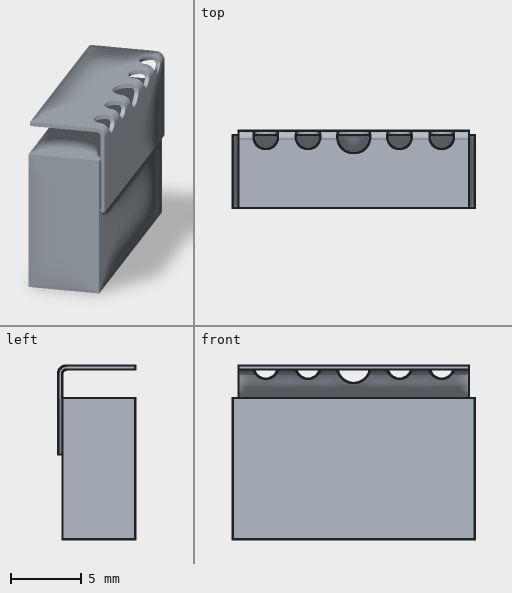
import math

import cadquery as cq

BLOCK_WIDTH = 17.2
BLOCK_DEPTH = 5.2
BLOCK_HEIGHT = 10.05

SHEET = 0.3
BRACKET_WIDTH = 16.4
BRACKET_TOP = 12.35
BRACKET_BACK = BLOCK_DEPTH + SHEET
BRACKET_DROP = 6.33
INNER_BEND = 0.3
OUTER_BEND = INNER_BEND + SHEET
NEUTRAL_BEND = INNER_BEND + SHEET / 2
BEND_Y = BRACKET_BACK - OUTER_BEND
BEND_Z = BRACKET_TOP - OUTER_BEND

BEND_LENGTH = NEUTRAL_BEND * math.pi / 2
HOLE_OFFSET = 0.17
SMALL_RADIUS = 0.875
LARGE_RADIUS = 1.175
INNER_HOLE_X = 3.25
SMALL_HOLE_PITCH = 3.0
OUTER_HOLE_X = INNER_HOLE_X + SMALL_HOLE_PITCH
HOLES = [
    (-OUTER_HOLE_X, SMALL_RADIUS),
    (-INNER_HOLE_X, SMALL_RADIUS),
    (0, LARGE_RADIUS),
    (INNER_HOLE_X, SMALL_RADIUS),
    (OUTER_HOLE_X, SMALL_RADIUS),
]
BEND_SECTIONS = 7
CUT_MARGIN = 0.1
CUT_THICKNESS = SHEET + 2 * CUT_MARGIN


def make_block():
    return cq.Workplane("XY").box(BLOCK_WIDTH, BLOCK_DEPTH, BLOCK_HEIGHT, centered=(True, False, False))


def make_bracket():
    bottom = BRACKET_TOP - BRACKET_DROP
    diagonal = math.cos(math.pi / 4)
    return (
        cq.Workplane("YZ", origin=(-BRACKET_WIDTH / 2, 0, 0))
        .moveTo(0, BRACKET_TOP)
        .lineTo(BEND_Y, BRACKET_TOP)
        .threePointArc(
            (BEND_Y + OUTER_BEND * diagonal, BEND_Z + OUTER_BEND * diagonal),
            (BRACKET_BACK, BEND_Z),
        )
        .lineTo(BRACKET_BACK, bottom)
        .lineTo(BLOCK_DEPTH, bottom)
        .lineTo(BLOCK_DEPTH, BEND_Z)
        .threePointArc(
            (BEND_Y + INNER_BEND * diagonal, BEND_Z + INNER_BEND * diagonal),
            (BEND_Y, BRACKET_TOP - SHEET),
        )
        .lineTo(0, BRACKET_TOP - SHEET)
        .close()
        .extrude(BRACKET_WIDTH)
    )


def top_flange_cutter(x, radius):
    """Part of the hole in front of the bend."""
    bottom = BRACKET_TOP - SHEET - CUT_MARGIN
    disc = cq.Workplane("XY", origin=(x, BEND_Y + HOLE_OFFSET, bottom)).circle(radius).extrude(CUT_THICKNESS)
    flat_side = cq.Workplane("XY", origin=(x, BEND_Y - radius, bottom)).box(
        2 * radius, 2 * radius, CUT_THICKNESS, centered=(True, True, False)
    )
    return disc.intersect(flat_side)


def back_flange_cutter(x, radius):
    """Part of the hole below the bend."""
    centre_z = BEND_Z + BEND_LENGTH - HOLE_OFFSET
    back = BRACKET_BACK + CUT_MARGIN
    disc = cq.Workplane("XZ", origin=(x, back, centre_z)).circle(radius).extrude(CUT_THICKNESS)
    flat_side = cq.Workplane("XZ", origin=(x, back, BEND_Z - radius)).rect(2 * radius, 2 * radius)
    return disc.intersect(flat_side.extrude(CUT_THICKNESS))


def bend_cutter(x, radius):
    """Part of the hole within the bend: radial rectangles as wide as the hole at each bend angle."""
    sections = []
    for index in range(BEND_SECTIONS):
        angle = math.pi / 2 * index / (BEND_SECTIONS - 1)
        half_width = math.sqrt(radius**2 - (NEUTRAL_BEND * angle - HOLE_OFFSET) ** 2)
        points = []
        for side, reach in ((-1, -CUT_MARGIN), (1, -CUT_MARGIN), (1, SHEET + CUT_MARGIN), (-1, SHEET + CUT_MARGIN)):
            distance = INNER_BEND + reach
            y = BEND_Y + distance * math.sin(angle)
            z = BEND_Z + distance * math.cos(angle)
            points.append(cq.Vector(x + side * half_width, y, z))
        sections.append(cq.Wire.makePolygon(points, close=True))
    return cq.Workplane("XY").add(cq.Solid.makeLoft(sections))


bracket = make_bracket()
for hole_x, hole_radius in HOLES:
    bracket = bracket.cut(top_flange_cutter(hole_x, hole_radius))
    bracket = bracket.cut(back_flange_cutter(hole_x, hole_radius))
    bracket = bracket.cut(bend_cutter(hole_x, hole_radius))

result = make_block().union(bracket)